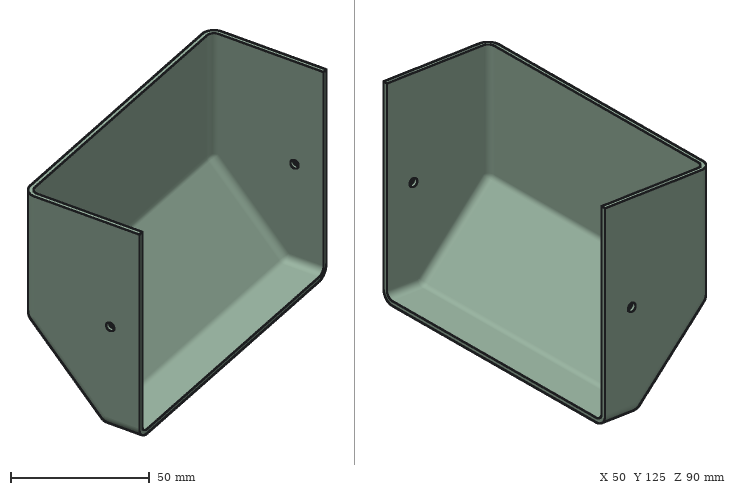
import cadquery as cq

depth = 50
width = 125
height = 90

wall = 2.0
bend_radius = 5.0

slope_top_z = 35.0
slope_bottom_x = 33.1

hole_diameter = 3.5
hole_x = 37.5
hole_z = height / 2


def rounded_block():
    """Solid envelope, rounded except around its flat back and top faces."""
    block = (
        cq.Workplane("XZ")
        .moveTo(0, height)
        .lineTo(0, slope_top_z)
        .lineTo(slope_bottom_x, 0)
        .lineTo(depth, 0)
        .lineTo(depth, height)
        .close()
        .extrude(width / 2, both=True)
    )
    rounded_edges = block.edges("not(>X or >Z)")
    return rounded_edges.fillet(bend_radius)


def side_hole():
    """Pin running across the full width."""
    return (
        cq.Workplane("XZ")
        .center(hole_x, hole_z)
        .circle(hole_diameter / 2)
        .extrude(width, both=True)
    )


cover = rounded_block().faces(">X or >Z").shell(-wall)
result = cover.cut(side_hole())